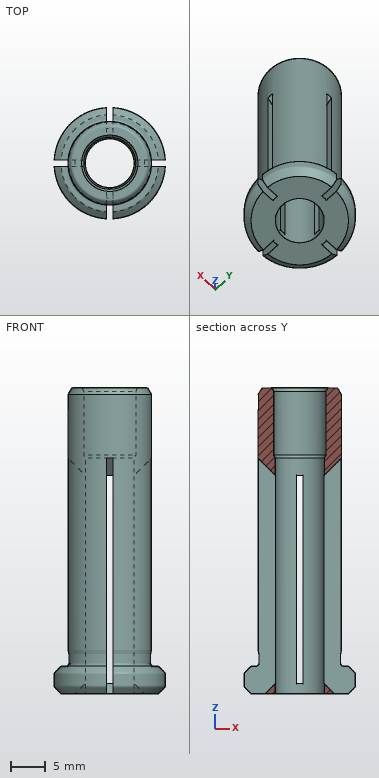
import cadquery as cq
import math

total_length = 44.0
body_radius = 12.0 / 2
top_chamfer_height = 0.95
top_chamfer_slope = math.radians(30)
edge_round = 0.4

flange_radius = 8.0
flange_height = 4.0
flange_chamfer = 1.0
neck_radius = 5.9
neck_cone_start = 5.7
neck_cone_end = 6.25
neck_fillet = 0.4

bore_radius = 7.0 / 2
upper_bore_radius = 7.5 / 2
bore_mouth_radius = 4.05
bore_step_height = 33.9
bore_cone_slope = math.radians(30)

slot_count = 4
slot_width = 0.92
slot_top_outer = 33.9
slot_bottom_inner = 1.5
cut_margin = 0.45
height_tolerance = 0.005


def make_outer_body():
    """Revolve the solid sleeve with its flange, neck and chamfered top."""
    top_radius = body_radius - top_chamfer_height * math.tan(top_chamfer_slope)
    profile = [
        (0, 0),
        (flange_radius - flange_chamfer, 0),
        (flange_radius, flange_chamfer),
        (flange_radius, flange_height - flange_chamfer),
        (flange_radius - flange_chamfer, flange_height),
        (neck_radius, flange_height),
        (neck_radius, neck_cone_start),
        (body_radius, neck_cone_end),
        (body_radius, total_length - top_chamfer_height),
        (top_radius, total_length),
        (0, total_length),
    ]
    body = cq.Workplane("XZ").polyline(profile).close().revolve(360, (0, 0), (0, 1))

    def circle_at(radius, height):
        """Select the outermost circular edge at a height, within a radius."""
        return body.edges(cq.selectors.BoxSelector(
            (-radius - cut_margin, -radius - cut_margin, height - height_tolerance),
            (radius + cut_margin, radius + cut_margin, height + height_tolerance),
            boundingbox=True,
        )).edges("%CIRCLE").edges(cq.selectors.RadiusNthSelector(-1))

    for height in (flange_chamfer, flange_height - flange_chamfer, flange_height):
        body = circle_at(flange_radius, height).fillet(edge_round)
    body = circle_at(top_radius, total_length).fillet(edge_round)
    return circle_at(neck_radius, flange_height).fillet(neck_fillet)


def make_bore():
    """Revolve the through bore, its wider upper part and its conical mouth."""
    step_length = (upper_bore_radius - bore_radius) / math.tan(bore_cone_slope)
    mouth_depth = (bore_mouth_radius - upper_bore_radius) / math.tan(bore_cone_slope)
    profile = [
        (0, 0),
        (bore_radius, 0),
        (bore_radius, bore_step_height),
        (upper_bore_radius, bore_step_height + step_length),
        (upper_bore_radius, total_length - mouth_depth),
        (bore_mouth_radius, total_length),
        (0, total_length),
    ]
    return cq.Workplane("XZ").polyline(profile).close().revolve(360, (0, 0), (0, 1))


def make_slot():
    """Make one radial slot cutter along +X whose ends slope inward at 45 degrees."""
    inner = bore_radius - cut_margin
    outer = flange_radius + cut_margin

    def top_height(radius):
        return slot_top_outer + radius - body_radius

    def floor_height(radius):
        return slot_bottom_inner + bore_radius - radius

    profile = [
        (inner, floor_height(inner)),
        (outer, floor_height(outer)),
        (outer, top_height(outer)),
        (inner, top_height(inner)),
    ]
    return cq.Workplane("XZ").polyline(profile).close().extrude(slot_width / 2, both=True)


result = make_outer_body().cut(make_bore())
for index in range(slot_count):
    angle = index * 360 / slot_count
    result = result.cut(make_slot().rotate((0, 0, 0), (0, 0, 1), angle))